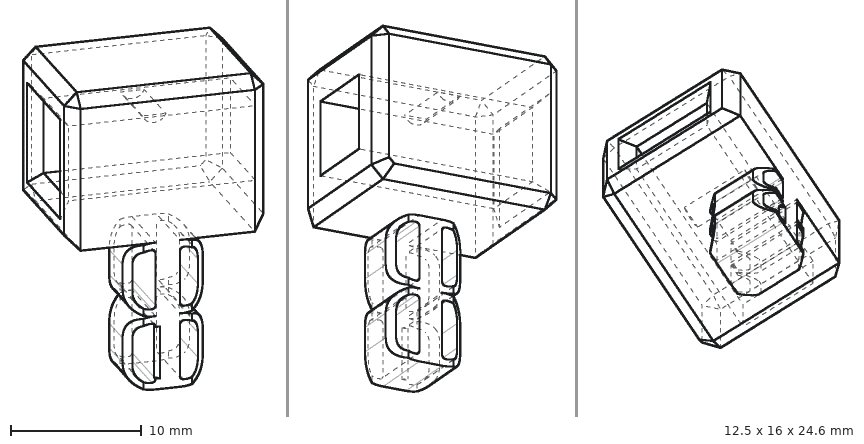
import cadquery as cq
import math

TOTAL_Z = 24.6

BLOCK_X = 12.5
BLOCK_Y = 16.0
BLOCK_Z = 12.6
CHAMFER = 1.0
BORE_X = 6.4
BORE_Z = 6.1
BORE_FLOOR = 3.0
CORNER_CUT_RISE = 0.45

RIDGE_LENGTH = 5.5
RIDGE_DEPTH = 0.65
RIDGE_RADIUS = 1.0

LINK_COUNT = 2
LINK_X = 6.0
LINK_Y = 6.45
LINK_Z = (TOTAL_Z - BLOCK_Z) / LINK_COUNT
LINK_CORNER_Z = 2.0
LINK_WALL = 0.6
LINK_BEVEL = 1.28
SPINE_Y = 1.97
LINK_CORNER_Y = (LINK_Y - SPINE_Y) / 2
WINDOW_INNER_RADIUS = 0.3
SPINE_CHAMFER = 0.35

RIGHT = BLOCK_X / 2
LINK_LEFT = RIGHT - LINK_X


def chamfered_block():
    """Block with every edge chamfered except the lower +X one, which is flush with the links."""
    block = cq.Workplane().box(BLOCK_X, BLOCK_Y, BLOCK_Z, centered=(True, True, False))
    lower_right_edge = block.faces(">X").edges("<Z").val()
    chamfered_edges = [edge for edge in block.edges().vals() if not edge.isSame(lower_right_edge)]
    return block.newObject(chamfered_edges).chamfer(CHAMFER)


def corner_cutter():
    """Triangular prism that lowers the facet at the (-X, +Y, bottom) corner."""
    facet_depth = CHAMFER / math.sqrt(2)
    side_depth = (2 * CHAMFER + CORNER_CUT_RISE) / math.sqrt(2)
    plane = cq.Plane(
        origin=(-BLOCK_X / 2, BLOCK_Y / 2, 0), xDir=(1, 0, 0), normal=(0, -1, -1)
    )
    profile = [(0, facet_depth), (CHAMFER, facet_depth), (0, side_depth)]
    return cq.Workplane(plane).polyline(profile).close().extrude(2 * CHAMFER, both=True)


def bore_cutter():
    """Through bore with a flared mouth at the -Y end."""
    middle_z = BORE_FLOOR + BORE_Z / 2
    front = cq.Workplane("XZ", origin=(0, -BLOCK_Y / 2, middle_z))
    bore = front.rect(BORE_X, BORE_Z).extrude(-BLOCK_Y)
    mouth = (
        front.rect(BORE_X + 2 * CHAMFER, BORE_Z + 2 * CHAMFER)
        .workplane(offset=-CHAMFER)
        .rect(BORE_X, BORE_Z)
        .loft(ruled=True)
    )
    return bore.union(mouth)


def ridge():
    """Cylinder partly sunk in the bore ceiling, halfway along the bore."""
    axis_z = BORE_FLOOR + BORE_Z - RIDGE_DEPTH + RIDGE_RADIUS
    return (
        cq.Workplane("YZ", origin=(-RIDGE_LENGTH / 2, 0, axis_z))
        .circle(RIDGE_RADIUS)
        .extrude(RIDGE_LENGTH)
    )


def half_outline(outer_y, height, corner_y, corner_z, inner_y):
    """Closed YZ outline from inner_y to outer_y with parabolic corners on the outer side."""
    top = height / 2
    return (
        cq.Workplane("YZ", origin=(LINK_LEFT, 0, 0))
        .moveTo(inner_y, -top)
        .lineTo(outer_y - corner_y, -top)
        .bezier([(outer_y - corner_y, -top), (outer_y, -top), (outer_y, corner_z - top)])
        .lineTo(outer_y, top - corner_z)
        .bezier([(outer_y, top - corner_z), (outer_y, top), (outer_y - corner_y, top)])
        .lineTo(inner_y, top)
        .close()
    )


def link_window():
    """Opening along X between the spine and the outer wall, on the +Y side."""
    inner_y = SPINE_Y / 2
    outer_y = LINK_Y / 2 - LINK_WALL
    corner_y = outer_y - inner_y - WINDOW_INNER_RADIUS
    outline = half_outline(
        outer_y, LINK_Z - 2 * LINK_WALL, corner_y, LINK_CORNER_Z - LINK_WALL, inner_y - WINDOW_INNER_RADIUS
    )
    rounded_end = (
        cq.Workplane()
        .box(LINK_X, outer_y - inner_y, LINK_Z - 2 * LINK_WALL)
        .edges("|X and <Y")
        .fillet(WINDOW_INNER_RADIUS)
        .translate((LINK_LEFT + LINK_X / 2, (inner_y + outer_y) / 2, 0))
    )
    return outline.extrude(LINK_X).intersect(rounded_end)


def bevelled_prism():
    """Plan outline of the links, with its four vertical edges bevelled."""
    height = LINK_COUNT * LINK_Z
    return (
        cq.Workplane()
        .box(LINK_X, LINK_Y, height)
        .edges("|Z")
        .chamfer(LINK_BEVEL)
        .translate((LINK_LEFT + LINK_X / 2, 0, -height / 2))
    )


def link(index):
    """Rounded link with two windows; index 0 touches the block."""
    half = half_outline(LINK_Y / 2, LINK_Z, LINK_CORNER_Y, LINK_CORNER_Z, 0).extrude(LINK_X)
    half = half.cut(link_window())
    body = half.union(half.mirror("XZ"))
    return body.translate((0, 0, -(index + 0.5) * LINK_Z)).intersect(bevelled_prism())


def spine_chamfer_cutter():
    """Triangular prism along the spine edge of the lowest link, between the window fillets."""
    height = LINK_Z - 2 * LINK_WALL - 2 * WINDOW_INNER_RADIUS
    bottom_z = -LINK_COUNT * LINK_Z + LINK_WALL + WINDOW_INNER_RADIUS
    edge_y = -SPINE_Y / 2
    profile = [(RIGHT, edge_y), (RIGHT - SPINE_CHAMFER, edge_y), (RIGHT, edge_y + SPINE_CHAMFER)]
    return cq.Workplane("XY", origin=(0, 0, bottom_z)).polyline(profile).close().extrude(height)


result = chamfered_block().cut(corner_cutter()).cut(bore_cutter()).union(ridge())
for link_index in range(LINK_COUNT):
    result = result.union(link(link_index))
result = result.cut(spine_chamfer_cutter())